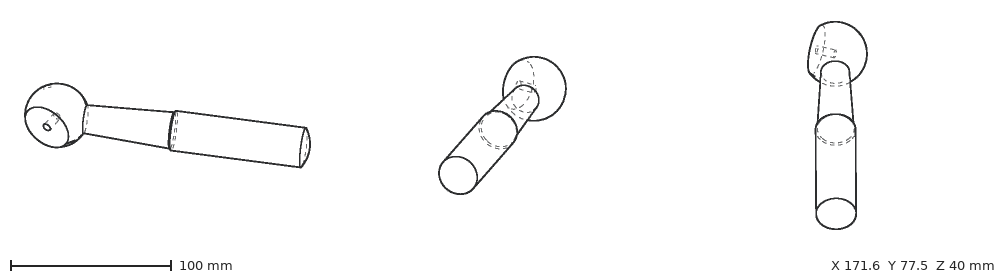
import cadquery as cq
import math

ball_radius = 40.0 / 2
seat_offset = 12.4

hole_diameter = 5.0
hole_depth = 12.0
drill_point_angle = 118.0

handle_angle = 20.0
neck_start = 18.0
neck_start_radius = 9.0
neck_end_radius = 11.5
grip_start = 73.8
grip_end = 156.0
grip_radius = 25.0 / 2
shoulder_length = 1.0
dome_height = 4.0


def make_ball():
    """Sphere cut flat at the seat."""
    size = 2 * ball_radius
    keep = cq.Workplane("XY").box(size, size, size).translate((0, ball_radius - seat_offset, 0))
    return cq.Workplane("XY").sphere(ball_radius).intersect(keep)


def make_handle():
    """Tapered neck, conical shoulder and domed grip, revolved about X and then tilted in the XY plane."""
    dome_radius = (grip_radius**2 + dome_height**2) / (2 * dome_height)
    dome_centre = grip_end + dome_height - dome_radius
    half_angle = math.asin(grip_radius / dome_radius) / 2
    dome_middle = (
        dome_centre + dome_radius * math.cos(half_angle),
        dome_radius * math.sin(half_angle),
    )
    profile = (
        cq.Workplane("XY")
        .lineTo(0, neck_start_radius)
        .lineTo(neck_start, neck_start_radius)
        .lineTo(grip_start - shoulder_length, neck_end_radius)
        .lineTo(grip_start, grip_radius)
        .lineTo(grip_end, grip_radius)
        .threePointArc(dome_middle, (grip_end + dome_height, 0))
        .close()
    )
    handle = profile.revolve(360, (0, 0, 0), (1, 0, 0))
    return handle.rotate((0, 0, 0), (0, 0, 1), handle_angle)


def make_hole():
    """Blind drilled hole with a conical bottom, running along +Y from the seat."""
    hole_radius = hole_diameter / 2
    point_depth = hole_radius / math.tan(math.radians(drill_point_angle / 2))
    bottom = hole_depth - seat_offset
    return (
        cq.Workplane("XY")
        .moveTo(0, -seat_offset)
        .lineTo(hole_radius, -seat_offset)
        .lineTo(hole_radius, bottom)
        .lineTo(0, bottom + point_depth)
        .close()
        .revolve(360, (0, 0, 0), (0, 1, 0))
    )


result = make_ball().union(make_handle()).cut(make_hole())